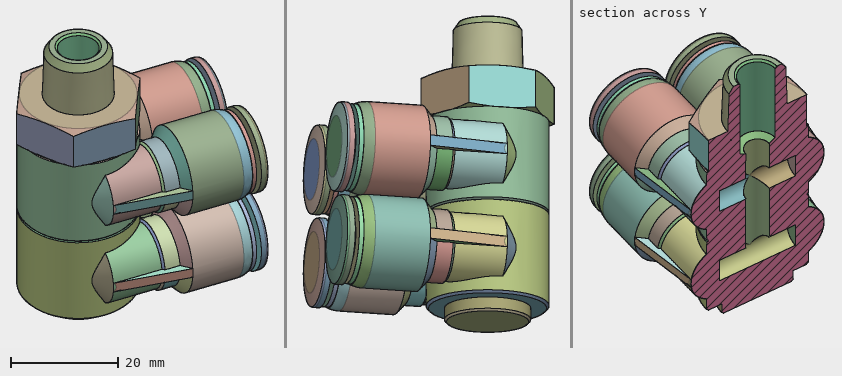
import cadquery as cq
import math


TOTAL_HEIGHT = 57.6
FOOT_HEIGHT = 2.6
LEVEL_HEIGHT = 18.0
LEVEL_COUNT = 2
HEX_HEIGHT = 8.1
HEX_BOTTOM = FOOT_HEIGHT + LEVEL_COUNT * LEVEL_HEIGHT
HEX_TOP = HEX_BOTTOM + HEX_HEIGHT

FOOT_DIAMETER = 16.1
FOOT_CHAMFER = 0.4
BODY_DIAMETER = 23.0
BODY_CHAMFER = 0.45

HEX_SIDES = 6
HEX_ACROSS_FLATS = 22.25
HEX_ACROSS_CORNERS = HEX_ACROSS_FLATS / math.cos(math.pi / HEX_SIDES)
HEX_FACE_DIAMETER = 22.0
HEX_CORNER_DROP = 0.5

STUB_BASE_DIAMETER = 13.5
STUB_END_DIAMETER = 12.9
STUB_TIP_DIAMETER = 10.95
STUB_TIP_HEIGHT = 1.45

MAIN_BORE_DIAMETER = 7.85
MAIN_BORE_CHAMFER = 0.4
DRILL_POINT_ANGLE = 118.0
PASSAGE_DIAMETER = 5.2

PORT_PITCH = 17.0
BARREL_DIAMETER = 17.5
COLLAR_DIAMETER = 16.3
TAPER_DIAMETER = 16.6
COLLET_NECK_DIAMETER = 10.95
COLLET_DIAMETER = 16.8
COLLET_EDGE_DIAMETER = 16.6
COLLET_FACE_DIAMETER = 11.5
SHOULDER_DIAMETER = 13.8
SHANK_DIAMETER = 13.0
CONE_LENGTH = 4.5

SHANK_END = 10.1
SHOULDER_START = 10.55
SHOULDER_END = 13.65
BARREL_START = 15.4
BARREL_END = 26.0
TAPER_END = 28.05
COLLAR_END = 28.9
COLLET_START = 29.8
COLLET_RIM_END = 30.8
COLLET_CROWN_START = 31.2
COLLET_END = 31.7

WEB_THICKNESS = 2.0
WEB_NARROW_HALF_WIDTH = 14.9


def revolve_about_z(profile):
    """Solid of revolution from (radius, z) points."""
    return cq.Workplane("XZ").polyline(profile).close().revolve(360, (0, 0), (0, 1))


def make_foot():
    foot = cq.Workplane("XY").circle(FOOT_DIAMETER / 2).extrude(FOOT_HEIGHT)
    return foot.faces("<Z").chamfer(FOOT_CHAMFER)


def make_ring_body(bottom):
    ring = cq.Workplane("XY").workplane(offset=bottom).circle(BODY_DIAMETER / 2).extrude(LEVEL_HEIGHT)
    return ring.faces("<Z").chamfer(BODY_CHAMFER)


def make_hexagon():
    prism = (
        cq.Workplane("XY", origin=(0, 0, HEX_BOTTOM))
        .transformed(rotate=(0, 0, 90))
        .polygon(HEX_SIDES, HEX_ACROSS_CORNERS)
        .extrude(HEX_HEIGHT)
    )
    face_radius = HEX_FACE_DIAMETER / 2
    corner_radius = HEX_ACROSS_CORNERS / 2
    corner_envelope = revolve_about_z([
        (0, HEX_BOTTOM),
        (face_radius, HEX_BOTTOM),
        (corner_radius, HEX_BOTTOM + HEX_CORNER_DROP),
        (corner_radius, HEX_TOP - HEX_CORNER_DROP),
        (face_radius, HEX_TOP),
        (0, HEX_TOP),
    ])
    return prism.intersect(corner_envelope)


def make_stub():
    return revolve_about_z([
        (0, HEX_TOP),
        (STUB_BASE_DIAMETER / 2, HEX_TOP),
        (STUB_END_DIAMETER / 2, TOTAL_HEIGHT - STUB_TIP_HEIGHT),
        (STUB_TIP_DIAMETER / 2, TOTAL_HEIGHT),
        (0, TOTAL_HEIGHT),
    ])


def make_port(x, z):
    """Push-in port along +Y, ending in a cone on the -Y side."""
    profile = (
        cq.Workplane("XY")
        .moveTo(0, -CONE_LENGTH)
        .lineTo(SHANK_DIAMETER / 2, 0)
        .lineTo(SHANK_DIAMETER / 2, SHANK_END)
        .lineTo(SHOULDER_DIAMETER / 2, SHOULDER_START)
        .lineTo(SHOULDER_DIAMETER / 2, SHOULDER_END)
        .lineTo(BARREL_DIAMETER / 2, BARREL_START)
        .lineTo(BARREL_DIAMETER / 2, BARREL_END)
        .tangentArcPoint((TAPER_DIAMETER / 2, TAPER_END), relative=False)
        .lineTo(COLLAR_DIAMETER / 2, TAPER_END)
        .lineTo(COLLAR_DIAMETER / 2, COLLAR_END)
        .lineTo(COLLET_NECK_DIAMETER / 2, COLLAR_END)
        .lineTo(COLLET_NECK_DIAMETER / 2, COLLET_START)
        .lineTo(COLLET_DIAMETER / 2, COLLET_START)
        .lineTo(COLLET_DIAMETER / 2, COLLET_RIM_END)
        .lineTo(COLLET_EDGE_DIAMETER / 2, COLLET_CROWN_START)
        .lineTo(COLLET_FACE_DIAMETER / 2, COLLET_END)
        .lineTo(0, COLLET_END)
        .close()
    )
    return profile.revolve(360, (0, 0), (0, 1)).translate((x, 0, z))


def make_web(z):
    wide_half_width = (PORT_PITCH + BARREL_DIAMETER) / 2
    return (
        cq.Workplane("XY", origin=(0, 0, z))
        .polyline([
            (-WEB_NARROW_HALF_WIDTH, 0),
            (WEB_NARROW_HALF_WIDTH, 0),
            (wide_half_width, BARREL_START),
            (-wide_half_width, BARREL_START),
        ])
        .close()
        .extrude(WEB_THICKNESS / 2, both=True)
    )


def make_main_bore(cross_height):
    """Chamfered bore from the top, coned down to a passage that meets the cross passage."""
    bore_radius = MAIN_BORE_DIAMETER / 2
    passage_radius = PASSAGE_DIAMETER / 2
    cone_height = (bore_radius - passage_radius) / math.tan(math.radians(DRILL_POINT_ANGLE / 2))
    return revolve_about_z([
        (0, cross_height),
        (passage_radius, cross_height),
        (passage_radius, HEX_BOTTOM),
        (bore_radius, HEX_BOTTOM + cone_height),
        (bore_radius, TOTAL_HEIGHT - MAIN_BORE_CHAMFER),
        (bore_radius + MAIN_BORE_CHAMFER, TOTAL_HEIGHT),
        (0, TOTAL_HEIGHT),
    ])


def make_cross_passage(z):
    """Closed passage along X between the two port axes of a level."""
    start = (-PORT_PITCH / 2, 0, z)
    return cq.Workplane("YZ", origin=start).circle(PASSAGE_DIAMETER / 2).extrude(PORT_PITCH)


level_bottoms = [FOOT_HEIGHT + level * LEVEL_HEIGHT for level in range(LEVEL_COUNT)]
port_heights = [bottom + LEVEL_HEIGHT / 2 for bottom in level_bottoms]

result = make_foot().union(make_hexagon()).union(make_stub())
for bottom, port_height in zip(level_bottoms, port_heights):
    result = result.union(make_ring_body(bottom)).union(make_web(port_height))
    for side in (-1, 1):
        result = result.union(make_port(side * PORT_PITCH / 2, port_height))

result = result.cut(make_main_bore(port_heights[0]))
for port_height in port_heights:
    result = result.cut(make_cross_passage(port_height))